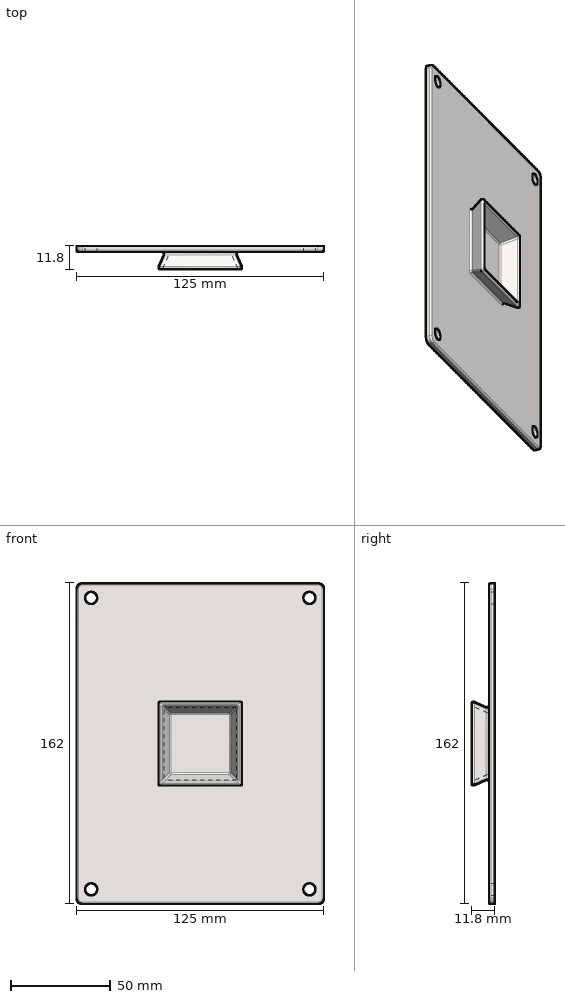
import cadquery as cq

plate_width = 125.0
plate_height = 162.0
plate_thickness = 3.0
corner_radius = 3.0
edge_radius = 1.0

hole_diameter = 6.0
hole_inset = 7.5

total_depth = 11.8
dish_depth = total_depth - plate_thickness
flare = 0.45
rim_width = 43.4
recess_rim_width = 38.4
floor_depth = dish_depth


def flared_block(rim_size, depth):
    """Square frustum, large end on the rim plane, with its four slanted edges rounded."""
    inner_size = rim_size - 2 * flare * depth
    return (
        cq.Workplane("XZ", origin=(0, -dish_depth, 0))
        .rect(rim_size, rim_size)
        .workplane(offset=-depth)
        .rect(inner_size, inner_size)
        .loft(ruled=True)
        .edges("not(#Y)")
        .fillet(edge_radius)
    )


def make_plate():
    """Plate with rounded corners and a rounded front edge."""
    return (
        cq.Workplane("XZ")
        .rect(plate_width, plate_height)
        .extrude(-plate_thickness)
        .edges("|Y")
        .fillet(corner_radius)
        .faces("<Y")
        .edges()
        .fillet(edge_radius)
    )


def make_holes():
    """Four through holes, one near each plate corner."""
    return (
        cq.Workplane("XZ")
        .rect(plate_width - 2 * hole_inset, plate_height - 2 * hole_inset, forConstruction=True)
        .vertices()
        .circle(hole_diameter / 2)
        .extrude(-plate_thickness)
    )


def make_dish_body():
    """Plate and hollow dish, with the base joint, both rim edges and the floor edge rounded."""
    base_width = rim_width - 2 * flare * dish_depth
    reach = base_width / 2 + edge_radius
    joint_zone = cq.selectors.BoxSelector(
        (-reach, -edge_radius / 2, -reach), (reach, edge_radius / 2, reach)
    )
    body = make_plate().union(flared_block(rim_width, dish_depth))
    body = body.edges(joint_zone).fillet(edge_radius)
    recess = flared_block(recess_rim_width, floor_depth).faces(">Y").edges().fillet(edge_radius)
    return body.cut(recess).faces("<Y").edges().fillet(edge_radius)


result = make_dish_body().cut(make_holes())